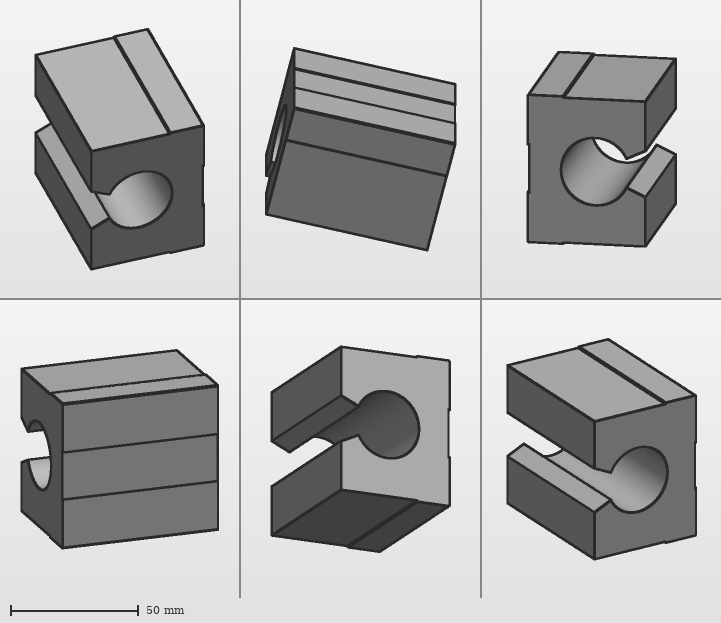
import cadquery as cq
import math

length = 65.0
depth = 47.0
height = 60.0

relief = 0.5
rear_land_depth = 14.0
rear_recess_width = 19.5
rear_chamfer = 0.5
edge_chamfer = 0.2

bore_radius = 13.6
bore_to_front = 20.0
mouth_half_angle = math.radians(25.0)

front_y = -bore_to_front
rear_y = front_y + depth
land_y = rear_y - rear_land_depth

land_z = height / 2
front_z = land_z - relief
recess_z = rear_recess_width / 2


def mirrored(upper_half):
    """Close a profile from its upper half by reflecting it about Z = 0."""
    lower_half = [(y, -z) for y, z in reversed(upper_half)]
    return upper_half + lower_half


def extrude_profile(points):
    """Extrude a (Y, Z) polygon along X, centred on X = 0."""
    return cq.Workplane("YZ").polyline(points).close().extrude(length / 2, both=True)


def make_block():
    """Block with chamfered long edges, 45 degree steps top and bottom, and a rear recess."""
    upper_half = [
        (front_y, front_z - edge_chamfer),
        (front_y + edge_chamfer, front_z),
        (land_y - relief, front_z),
        (land_y, land_z),
        (rear_y - rear_chamfer, land_z),
        (rear_y, land_z - rear_chamfer),
        (rear_y, recess_z),
        (rear_y - relief, recess_z),
    ]
    return extrude_profile(mirrored(upper_half))


def make_bore():
    """Round bore along X."""
    return cq.Workplane("YZ").circle(bore_radius).extrude(length / 2, both=True)


def make_mouth():
    """Wedge from the bore axis to the front face, with its sides radial to the bore."""
    mouth_half_height = bore_to_front * math.tan(mouth_half_angle)
    wedge = [(0, 0), (front_y, mouth_half_height), (front_y, -mouth_half_height)]
    return extrude_profile(wedge)


def chamfer_ends(body):
    """Break every edge of the two end faces, including the bore and mouth."""
    return body.faces("<X or >X").edges().chamfer(edge_chamfer)


result = chamfer_ends(make_block().cut(make_bore()).cut(make_mouth()))